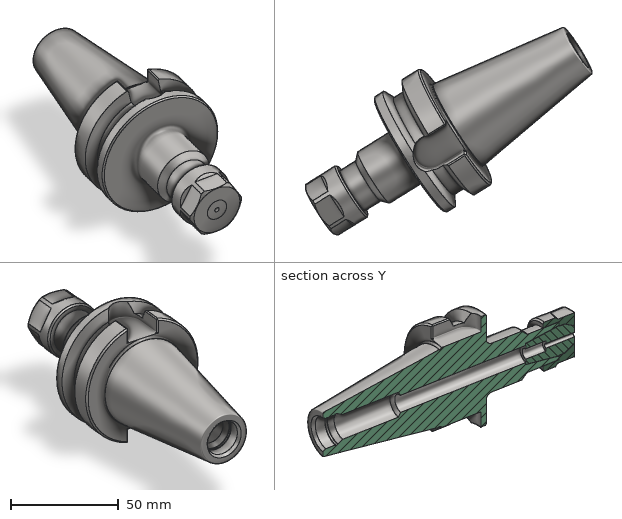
import cadquery as cq
import math

overall_length = 141.6
thread_diameter = 22.0
collet_diameter = 17.0
collet_length = 27.5
collet_back_x = overall_length - collet_length
holder_end_x = 133.1
nose_start_x = 136.0
seat_half_angle = 8.0
nose_half_angle = 30.0
collet_radius = collet_diameter / 2
seat_length = holder_end_x - collet_back_x
collet_back_radius = collet_radius - seat_length * math.tan(math.radians(seat_half_angle))
nose_length = overall_length - nose_start_x
nose_front_radius = collet_radius - nose_length * math.tan(math.radians(nose_half_angle))

taper_ratio = 7 / 24
taper_diameter = 44.5
taper_end_x = 65.4
small_end_round = 0.8
undercut_diameter = 43.9
undercut_start_x = 65.7
undercut_fillet = 1.0

flange_diameter = 63.0
flange_start_x = 66.8
flange_end_x = 92.2
flange_chamfer = 0.8
flange_back_chamfer = 0.7
groove_diameter = 53.0
groove_start_x = 79.2
groove_end_x = 84.5
groove_wall_length = 2.5

body_diameter = 28.0
body_fillet = 3.0
body_end_x = 112.0

slot_width = 16.1
slot_floor_height = 22.8
slot_end_x = 88.9
slot_floor_fillet = 0.5
slot_edge_chamfer = 0.7
slot_rim_chamfer_height = 0.4

mouth_diameter = 19.0
mouth_depth = 1.7
pilot_diameter = 17.0
pilot_relief_diameter = 17.5
pilot_relief_start_x = 7.2
pilot_relief_end_x = 8.5
stud_thread_diameter = 13.9
stud_thread_end_x = 42.5
stud_step_half_angle = 30.0
drill_half_angle = 59.0
through_diameter = 9.5

grip_diameter = 2.3
relief_diameter = 5.7
relief_length = 11.3

nut_diameter = 28.0
nut_start_x = 123.6
nut_back_chamfer = 0.8
nut_front_chamfer_length = 1.1
nut_front_chamfer_depth = 1.5
flat_count = 6
flat_apothem = 12.6
flat_start_x = 132.3
long_flat_start_x = 130.5
long_flat_angle = 30.0


def revolve_about_x(profile):
    """Turn a closed outline, drawn as (position along X, radius), about the X axis."""
    return profile.close().revolve(360, (0, 0, 0), (1, 0, 0))


def make_shank():
    """Taper, grooved flange, body and threaded neck, turned in one piece."""
    taper_radius = taper_diameter / 2
    undercut_radius = undercut_diameter / 2
    flange_radius = flange_diameter / 2
    groove_radius = groove_diameter / 2
    body_radius = body_diameter / 2
    neck_radius = thread_diameter / 2
    small_end_radius = taper_radius - (taper_end_x - small_end_round) * taper_ratio / 2
    shoulder_length = body_radius - neck_radius
    profile = (
        cq.Workplane("XY")
        .moveTo(0, 0)
        .lineTo(0, small_end_radius - small_end_round)
        .radiusArc((small_end_round, small_end_radius), small_end_round)
        .lineTo(taper_end_x, taper_radius)
        .lineTo(undercut_start_x, undercut_radius)
        .lineTo(flange_start_x - undercut_fillet, undercut_radius)
        .radiusArc((flange_start_x, undercut_radius + undercut_fillet), -undercut_fillet)
        .lineTo(flange_start_x, flange_radius - flange_chamfer)
        .lineTo(flange_start_x + flange_chamfer, flange_radius)
        .lineTo(groove_start_x - groove_wall_length, flange_radius)
        .lineTo(groove_start_x, groove_radius)
        .lineTo(groove_end_x, groove_radius)
        .lineTo(groove_end_x + groove_wall_length, flange_radius)
        .lineTo(flange_end_x - flange_back_chamfer, flange_radius)
        .lineTo(flange_end_x, flange_radius - flange_back_chamfer)
        .lineTo(flange_end_x, body_radius + body_fillet)
        .radiusArc((flange_end_x + body_fillet, body_radius), -body_fillet)
        .lineTo(body_end_x, body_radius)
        .lineTo(body_end_x + shoulder_length, neck_radius)
        .lineTo(holder_end_x, neck_radius)
        .lineTo(holder_end_x, 0)
    )
    return revolve_about_x(profile)


def make_holder_bore():
    """Pull-stud bore from the small end, through hole and collet seat, as one cutter."""
    pilot_radius = pilot_diameter / 2
    relief_radius = pilot_relief_diameter / 2
    stud_radius = stud_thread_diameter / 2
    through_radius = through_diameter / 2
    step_length = (pilot_radius - stud_radius) / math.tan(math.radians(stud_step_half_angle))
    drill_length = (stud_radius - through_radius) / math.tan(math.radians(drill_half_angle))
    profile = (
        cq.Workplane("XY")
        .moveTo(0, 0)
        .lineTo(0, mouth_diameter / 2)
        .lineTo(mouth_depth, pilot_radius)
        .lineTo(pilot_relief_start_x, pilot_radius)
        .lineTo(pilot_relief_start_x, relief_radius)
        .lineTo(pilot_relief_end_x, relief_radius)
        .lineTo(pilot_relief_end_x, pilot_radius)
        .lineTo(pilot_relief_end_x + step_length, stud_radius)
        .lineTo(stud_thread_end_x, stud_radius)
        .lineTo(stud_thread_end_x + drill_length, through_radius)
        .lineTo(collet_back_x, through_radius)
        .lineTo(collet_back_x, collet_back_radius)
        .lineTo(holder_end_x, collet_radius)
        .lineTo(holder_end_x, 0)
    )
    return revolve_about_x(profile)


def make_slot_cutter():
    """Round-ended drive slot on the +Z side, with its two entry edges chamfered."""
    half_width = slot_width / 2
    wide_half_width = half_width + slot_edge_chamfer
    flange_radius = flange_diameter / 2
    height = flange_radius - slot_floor_height
    arc_center_x = slot_end_x - half_width
    entry_x = flange_start_x - undercut_fillet

    slot = (
        cq.Workplane("XY", origin=(0, 0, slot_floor_height))
        .moveTo(entry_x, -half_width)
        .lineTo(arc_center_x, -half_width)
        .threePointArc((slot_end_x, 0), (arc_center_x, half_width))
        .lineTo(entry_x, half_width)
        .close()
        .extrude(height)
        .faces("<Z").edges("not <X").fillet(slot_floor_fillet)
    )
    front_flare = (
        cq.Workplane("XY", origin=(0, 0, slot_floor_height))
        .polyline([
            (flange_start_x, -wide_half_width),
            (flange_start_x + slot_edge_chamfer, -half_width),
            (flange_start_x + slot_edge_chamfer, half_width),
            (flange_start_x, wide_half_width),
        ])
        .close()
        .extrude(height)
    )
    rim_height = math.sqrt(flange_radius**2 - wide_half_width**2)
    rim_flare = (
        cq.Workplane("YZ", origin=(flange_start_x, 0, 0))
        .polyline([
            (-half_width, rim_height - slot_rim_chamfer_height),
            (half_width, rim_height - slot_rim_chamfer_height),
            (wide_half_width, rim_height),
            (wide_half_width, flange_radius),
            (-wide_half_width, flange_radius),
            (-wide_half_width, rim_height),
        ])
        .close()
        .extrude(groove_start_x - flange_start_x)
    )
    return slot.union(front_flare).union(rim_flare)


def make_holder():
    holder = make_shank().cut(make_holder_bore())
    slot_cutter = make_slot_cutter()
    for angle in (0, 180):
        holder = holder.cut(slot_cutter.rotate((0, 0, 0), (1, 0, 0), angle))
    return holder


def make_collet():
    """Double-tapered collet with a grip bore that widens towards the back."""
    grip_radius = grip_diameter / 2
    relief_radius = relief_diameter / 2
    relief_end_x = collet_back_x + relief_length
    profile = (
        cq.Workplane("XY")
        .moveTo(collet_back_x, relief_radius)
        .lineTo(collet_back_x, collet_back_radius)
        .lineTo(holder_end_x, collet_radius)
        .lineTo(nose_start_x, collet_radius)
        .lineTo(overall_length, nose_front_radius)
        .lineTo(overall_length, grip_radius)
        .lineTo(relief_end_x, grip_radius)
        .lineTo(relief_end_x, relief_radius)
    )
    return revolve_about_x(profile)


def make_flat_cutter(start_x):
    """Removes one wrench flat on the +Y side; its back end rises at 45 degrees."""
    rise = nut_diameter / 2 - flat_apothem
    return (
        cq.Workplane("XY")
        .polyline([
            (start_x, flat_apothem),
            (overall_length, flat_apothem),
            (overall_length, flat_apothem + rise),
            (start_x - rise, flat_apothem + rise),
        ])
        .close()
        .extrude(nut_diameter / 2, both=True)
    )


def make_nut():
    """Clamping nut, bored to fit the neck and the collet nose."""
    nut_radius = nut_diameter / 2
    neck_radius = thread_diameter / 2
    profile = (
        cq.Workplane("XY")
        .moveTo(nut_start_x, neck_radius)
        .lineTo(nut_start_x, nut_radius - nut_back_chamfer)
        .lineTo(nut_start_x + nut_back_chamfer, nut_radius)
        .lineTo(overall_length - nut_front_chamfer_length, nut_radius)
        .lineTo(overall_length, nut_radius - nut_front_chamfer_depth)
        .lineTo(overall_length, nose_front_radius)
        .lineTo(nose_start_x, collet_radius)
        .lineTo(holder_end_x, collet_radius)
        .lineTo(holder_end_x, neck_radius)
    )
    nut = revolve_about_x(profile)
    for index in range(flat_count):
        start_x = long_flat_start_x if index == 0 else flat_start_x
        angle = long_flat_angle + index * 360 / flat_count
        nut = nut.cut(make_flat_cutter(start_x).rotate((0, 0, 0), (1, 0, 0), angle))
    return nut


holder = make_holder()
collet = make_collet()
nut = make_nut()

result = cq.Compound.makeCompound([holder.solids().val(), collet.val(), nut.solids().val()])